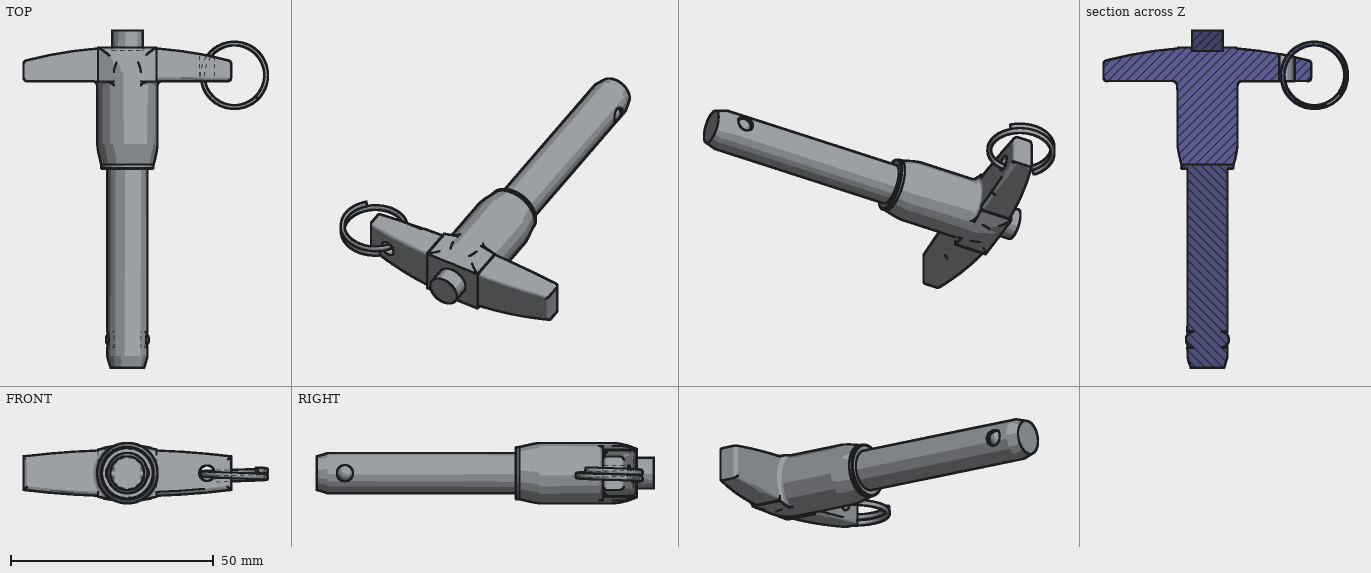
import cadquery as cq
import math


shank_radius = 5.0
shank_length = 49.1
tip_radius = 4.2
tip_length = 2.8
collar_radius = 6.5
collar_height = 1.0
collar_chamfer = 0.25
ball_radius = 2.0
ball_y = -42.1
ball_protrusion = 0.3

hub_radius = 7.5
hub_taper_start = 6.0
hub_taper_bulge = 0.125
arm_half_span = 25.6
arm_bottom_y = 21.55
handle_top_y = 29.95
arm_end_top_y = 26.5
arm_half_height = 5.7
arm_end_half_height = 4.2
arm_edge_fillet = 1.0
edge_tolerance = 0.1
shoulder_half_width = 7.2
shoulder_half_height = 5.8
shoulder_crest_x = 3.3
shoulder_crest_z = math.sqrt(hub_radius**2 - shoulder_crest_x**2)
dome_start_y = 23.9
dome_bend_y = 27.7
dome_bend_radius = 6.8
dome_top_radius = 5.9
shoulder_bend_z = 6.5
root_fillet = 1.0

button_radius = 3.8
button_top_y = 34.1
button_seat_y = 29.1

ring_outer_radius = 8.3
wire_radial_width = 1.0
wire_axial_width = 1.4
ring_coil_radius = ring_outer_radius - wire_radial_width / 2
ring_pitch = 1.5
ring_sweep_angle = 535.0
ring_lower_end_angle = 130.0
ring_lower_end_z = -1.5
ring_center_x = 26.4
ring_center_y = 23.05
ring_hole_x = 19.6
ring_hole_diameter = 3.75


def revolve_about_y(profile):
    """Turn a closed XY profile once around the Y axis."""
    return profile.close().revolve(360, (0, 0, 0), (0, 1, 0))


def make_arm(side):
    """One handle arm; side is +1 for +X and -1 for -X."""
    full_width = 2 * arm_half_span
    plan = (
        cq.Workplane("XY")
        .moveTo(-arm_half_span, arm_bottom_y)
        .lineTo(arm_half_span, arm_bottom_y)
        .lineTo(arm_half_span, arm_end_top_y)
        .threePointArc((0, handle_top_y), (-arm_half_span, arm_end_top_y))
        .close()
        .extrude(arm_half_height, both=True)
    )
    elevation = (
        cq.Workplane("XZ")
        .moveTo(-arm_half_span, -arm_end_half_height)
        .threePointArc((0, -arm_half_height), (arm_half_span, -arm_end_half_height))
        .lineTo(arm_half_span, arm_end_half_height)
        .threePointArc((0, arm_half_height), (-arm_half_span, arm_end_half_height))
        .close()
        .extrude(-full_width)
    )
    half_space = cq.Workplane("XY").box(full_width, 2 * full_width, full_width)
    half_space = half_space.translate((side * arm_half_span, 0, 0))
    arm = plan.intersect(elevation).intersect(half_space)

    def is_rounded(edge):
        center = edge.Center()
        at_end = abs(center.x) > arm_half_span - edge_tolerance
        if at_end:
            return abs(center.z) < edge_tolerance
        on_long_side = abs(center.x) > edge_tolerance and abs(center.z) > edge_tolerance
        on_lower_side = center.y < arm_bottom_y + edge_tolerance
        stays_sharp = side < 0 and center.z > 0 and on_lower_side
        return on_long_side and not stays_sharp

    rounded_edges = [edge for edge in arm.edges().vals() if is_rounded(edge)]
    return arm.newObject(rounded_edges).fillet(arm_edge_fillet)


def make_hub():
    """Round grip with a bulged lower taper and a domed top."""
    taper_middle_y = (hub_taper_start + collar_height) / 2
    taper_middle_radius = (hub_radius + collar_radius) / 2 + hub_taper_bulge
    return revolve_about_y(
        cq.Workplane("XY")
        .moveTo(0, collar_height)
        .lineTo(collar_radius, collar_height)
        .threePointArc((taper_middle_radius, taper_middle_y), (hub_radius, hub_taper_start))
        .lineTo(hub_radius, dome_start_y)
        .threePointArc((dome_bend_radius, dome_bend_y), (dome_top_radius, handle_top_y))
        .lineTo(0, handle_top_y)
    )


def shoulder_outline(half_width):
    """Section across the pin axis that slopes from the arms up to the hub."""
    return (
        cq.Workplane("XZ")
        .moveTo(-half_width, -shoulder_half_height)
        .lineTo(-shoulder_crest_x, -shoulder_crest_z)
        .lineTo(shoulder_crest_x, -shoulder_crest_z)
        .lineTo(half_width, -shoulder_half_height)
        .lineTo(half_width, shoulder_half_height)
        .lineTo(shoulder_crest_x, shoulder_crest_z)
        .lineTo(-shoulder_crest_x, shoulder_crest_z)
        .lineTo(-half_width, shoulder_half_height)
        .close()
    )


def make_shoulders():
    """Blend between hub and arms, rounded off toward the top."""
    block = shoulder_outline(shoulder_half_width).extrude(-handle_top_y)
    rounding = (
        cq.Workplane("YZ")
        .moveTo(arm_bottom_y, -shoulder_crest_z)
        .lineTo(dome_start_y, -shoulder_crest_z)
        .threePointArc((dome_bend_y, -shoulder_bend_z), (handle_top_y, -shoulder_half_height))
        .lineTo(handle_top_y, shoulder_half_height)
        .threePointArc((dome_bend_y, shoulder_bend_z), (dome_start_y, shoulder_crest_z))
        .lineTo(arm_bottom_y, shoulder_crest_z)
        .close()
        .extrude(shoulder_half_width, both=True)
    )
    return block.intersect(rounding)


def make_root_fillet():
    """Concave fillet where the underside of the arms meets the hub."""
    outer_radius = hub_radius + root_fillet
    lower_y = arm_bottom_y - root_fillet
    arc_offset = root_fillet * (1 - math.sqrt(0.5))
    collar = revolve_about_y(
        cq.Workplane("XY")
        .moveTo(0, lower_y)
        .lineTo(hub_radius, lower_y)
        .threePointArc(
            (hub_radius + arc_offset, arm_bottom_y - arc_offset), (outer_radius, arm_bottom_y)
        )
        .lineTo(0, arm_bottom_y)
    )
    return collar.intersect(shoulder_outline(outer_radius).extrude(-handle_top_y))


def y_cylinder(radius, start_y, end_y, x=0):
    """Cylinder along Y between two heights."""
    return cq.Workplane("XZ", origin=(x, start_y, 0)).circle(radius).extrude(start_y - end_y)


def make_handle():
    handle = make_hub().union(make_shoulders()).union(make_root_fillet())
    for side in (-1, 1):
        handle = handle.union(make_arm(side))
    ring_hole = y_cylinder(ring_hole_diameter / 2, 0, button_top_y, ring_hole_x)
    button_recess = y_cylinder(button_radius, button_seat_y, button_top_y)
    return handle.cut(ring_hole).cut(button_recess)


def make_shank():
    """Shank with its collar, tapered tip and two locking balls set in cross holes."""
    shank = revolve_about_y(
        cq.Workplane("XY")
        .moveTo(0, -shank_length)
        .lineTo(tip_radius, -shank_length)
        .lineTo(shank_radius, tip_length - shank_length)
        .lineTo(shank_radius, 0)
        .lineTo(collar_radius - collar_chamfer, 0)
        .lineTo(collar_radius, collar_chamfer)
        .lineTo(collar_radius, collar_height)
        .lineTo(0, collar_height)
    )
    ball_x = shank_radius + ball_protrusion - ball_radius
    for side in (-1, 1):
        ball_center = (side * ball_x, ball_y, 0)
        hole = cq.Workplane("YZ", origin=ball_center).circle(ball_radius).extrude(side * shank_radius)
        ball = cq.Workplane("XY").sphere(ball_radius).translate(ball_center)
        shank = shank.cut(hole).union(ball)
    return shank


def make_button():
    return y_cylinder(button_radius, button_seat_y, button_top_y)


def make_split_ring():
    """Coil of about one and a half turns that passes through the hole in the +X arm."""
    coil_height = ring_pitch * ring_sweep_angle / 360
    path = cq.Wire.makeHelix(ring_pitch, coil_height, ring_coil_radius, lefthand=True)
    coil = (
        cq.Workplane("XZ", origin=(ring_coil_radius, 0, 0))
        .ellipse(wire_radial_width / 2, wire_axial_width / 2)
        .sweep(cq.Workplane(path), isFrenet=True)
    )
    coil = coil.rotate((0, 0, 0), (0, 0, 1), ring_lower_end_angle)
    return coil.translate((ring_center_x, ring_center_y, ring_lower_end_z))


handle = make_handle()
shank = make_shank()
button = make_button()
split_ring = make_split_ring()

result = cq.Compound.makeCompound(
    [body.solids().val() for body in (handle, shank, button, split_ring)]
)